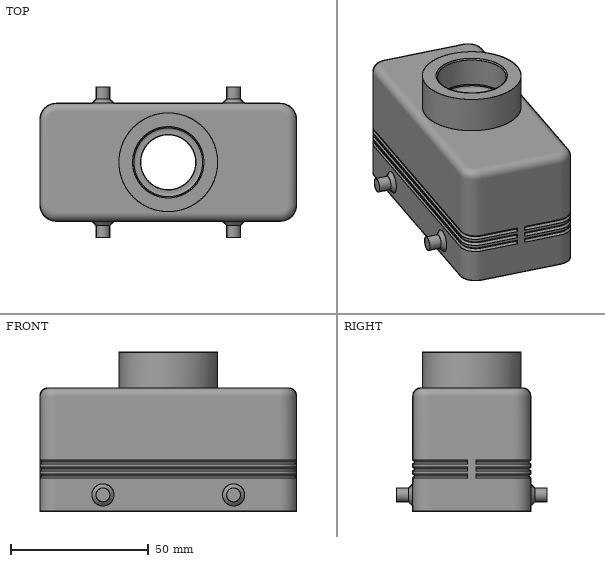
import cadquery as cq
import math

body_length = 93.5
body_width = 43
body_height = 45.0
corner_radius = 6.0
top_fillet = 3.0

total_height = 58
boss_diameter = 36.0
bore_diameter = 25.1
bore_length = 10.1
bore_chamfer = 0.5
relief_length = 0.8
seat_fillet = 1.6
hole_diameter = 20.0

pin_span = 55.0
pin_spacing = 47.6
pin_height = 6.0
pin_diameter = 5.05
collar_diameter = 8.0
collar_length = (collar_diameter - pin_diameter) / 2

groove_depth = 0.75
flank_angle = 45
groove_count = 3
groove_pitch = 2.5
lowest_groove_height = 12.9
groove_gap = 3.0


def make_outline(height, inset):
    """Rounded rectangle that follows the body outline, moved inwards by the inset."""
    outline = cq.Sketch().rect(body_length - 2 * inset, body_width - 2 * inset)
    outline = outline.vertices().fillet(corner_radius - inset)
    return cq.Workplane("XY", origin=(0, 0, height)).placeSketch(outline)


def make_body():
    block = make_outline(0, 0).extrude(body_height)
    return block.faces(">Z").edges().fillet(top_fillet)


def make_groove_cutter(height):
    """V groove around the body, with a gap in the middle of each short side."""
    half_width = groove_depth * math.tan(math.radians(flank_angle))
    sleeve = make_outline(height - half_width, 0).extrude(2 * half_width)
    core = make_outline(height, groove_depth)
    lower_core = core.extrude(-half_width, taper=-flank_angle)
    upper_core = core.extrude(half_width, taper=-flank_angle)
    bridge = cq.Workplane("XY", origin=(0, 0, height)).box(body_length, groove_gap, 2 * half_width)
    return sleeve.cut(lower_core).cut(upper_core).cut(bridge)


def make_pin(x, side):
    """Pin with a conical collar; side is -1 or 1 for the long side it stands on."""
    face = body_width / 2
    root = face - collar_length
    tip = pin_span / 2
    profile = [
        (0, root),
        (collar_diameter / 2, root),
        (collar_diameter / 2, face),
        (pin_diameter / 2, face + collar_length),
        (pin_diameter / 2, tip),
        (0, tip),
    ]
    pin = cq.Workplane("XY").polyline(profile).close().revolve(360, (0, 0, 0), (0, 1, 0))
    if side < 0:
        pin = pin.mirror("XZ")
    return pin.translate((x, 0, pin_height))


def make_boss():
    """Boss that reaches down into the body so that the two join."""
    foot = body_height - top_fillet
    return cq.Workplane("XY", origin=(0, 0, foot)).circle(boss_diameter / 2).extrude(total_height - foot)


def make_entry_cutter():
    """Chamfered bore, flared relief with a rounded seat, then a hole through the bottom."""
    bore_radius = bore_diameter / 2
    relief_radius = bore_radius + bore_chamfer
    hole_radius = hole_diameter / 2
    seat_radius = relief_radius - seat_fillet

    bore_top = total_height - bore_chamfer
    bore_bottom = bore_top - bore_length
    relief_bottom = bore_bottom - relief_length
    seat_height = relief_bottom - seat_fillet
    fillet_middle = seat_fillet * math.sqrt(0.5)

    return (
        cq.Workplane("XZ")
        .lineTo(hole_radius, 0)
        .lineTo(hole_radius, seat_height)
        .lineTo(seat_radius, seat_height)
        .threePointArc(
            (seat_radius + fillet_middle, relief_bottom - fillet_middle),
            (relief_radius, relief_bottom),
        )
        .lineTo(bore_radius, bore_bottom)
        .lineTo(bore_radius, bore_top)
        .lineTo(bore_radius + bore_chamfer, total_height)
        .lineTo(0, total_height)
        .close()
        .revolve(360, (0, 0, 0), (0, 1, 0))
    )


result = make_body()

for index in range(groove_count):
    result = result.cut(make_groove_cutter(lowest_groove_height + index * groove_pitch))

for x in (-pin_spacing / 2, pin_spacing / 2):
    for side in (-1, 1):
        result = result.union(make_pin(x, side))

result = result.union(make_boss()).cut(make_entry_cutter())